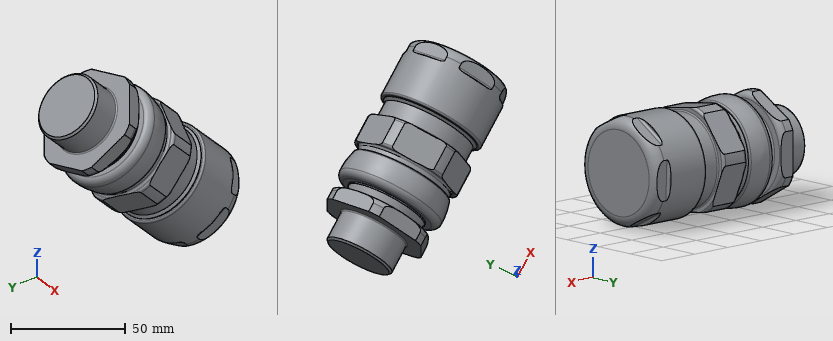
import cadquery as cq
import math

LENGTH = 98.0


THREAD_RADIUS = 32.0 / 2
THREAD_CHAMFER = 1.0
THREAD_ROOT_FILLET = 0.6
ENTRY_HEX_START = 14.8
ENTRY_HEX_END = 22.0
ENTRY_HEX_RADIUS = 50.45 / 2
ENTRY_HEX_ACROSS_FLATS = 46.0
ENTRY_HEX_FILLET = 2.9
ENTRY_HEX_TURN = 90.0
NECK_SMALL_RADIUS = 36.2 / 2
NECK_LARGE_RADIUS = 37.4 / 2
NECK_FILLET = 1.0

LIP_RADIUS = 38.0 / 2
LIP_START = 26.5
COLLAR_START = 27.2
COLLAR_END = 41.2
COLLAR_RADIUS = 50.3 / 2
COLLAR_FRONT_FILLET = 3.3
COLLAR_BULGE_END = 40.6
COLLAR_BULGE_END_RADIUS = 23.8
COLLAR_BULGE_MIDDLE = 35.6
COLLAR_BULGE_MIDDLE_RADIUS = 24.9
COLLAR_REAR_FILLET = COLLAR_END - COLLAR_BULGE_END

JOINT_X = 35.6
SPIGOT_RADIUS = 45.4 / 2
BODY_HEX_START = 44.6
BODY_HEX_END = 58.7
BODY_HEX_RADIUS = 50.7 / 2
BODY_HEX_ACROSS_FLATS = 46.3
BODY_HEX_TURN = 8.2
BODY_HEX_FILLET = 1.3
SPIGOT_FILLET = 1.1
BARREL_RADIUS = 43.5 / 2
BARREL_FILLET = 0.6
SHOULDER_START = 67.0
SHOULDER_END = 68.2
SHOULDER_RADIUS = 23.0

NUT_START = 68.5
NUT_RADIUS = 49.4 / 2
NUT_FRONT_FILLET = 0.9
NUT_END_FILLET = 5.3
SOCKET_DEPTH = 14.7
FLAT_COUNT = 6
FLAT_APOTHEM = 22.9
FLAT_START = 89.7
FLAT_FILLET = 1.2
FLAT_TURN = 28.0

HEX_SIDES = 6
SIN_45 = math.sqrt(0.5)


def revolved(outline):
    """Close an outline of radius against X and turn it around the X axis."""
    return outline.close().revolve(360, (0, 0, 0), (1, 0, 0))


def convex_corner(outline, x, radius, fillet):
    """Round from a rising face at x onto a cylinder of the given radius to its right."""
    middle = (x + fillet * (1 - SIN_45), radius - fillet * (1 - SIN_45))
    return outline.lineTo(x, radius - fillet).threePointArc(middle, (x + fillet, radius))


def convex_arc(outline, x, radius, fillet):
    """Arc from the end of a cylinder of the given radius onto a falling face at x."""
    middle = (x - fillet * (1 - SIN_45), radius - fillet * (1 - SIN_45))
    return outline.threePointArc(middle, (x, radius - fillet))


def convex_end(outline, x, radius, fillet):
    """Cylinder of the given radius that rounds onto a falling face at x."""
    return convex_arc(outline.lineTo(x - fillet, radius), x, radius, fillet)


def concave_arc(outline, x, radius, fillet):
    """Arc from the end of a cylinder of the given radius up into a rising face at x."""
    middle = (x - fillet * (1 - SIN_45), radius + fillet * (1 - SIN_45))
    return outline.threePointArc(middle, (x, radius + fillet))


def concave_rise(outline, x, radius, fillet):
    """Cylinder of the given radius that rounds up into a rising face at x."""
    return concave_arc(outline.lineTo(x - fillet, radius), x, radius, fillet)


def concave_fall(outline, x, radius, fillet):
    """Round from a falling face at x out onto a cylinder of the given radius."""
    middle = (x + fillet * (1 - SIN_45), radius + fillet * (1 - SIN_45))
    return outline.lineTo(x, radius + fillet).threePointArc(middle, (x + fillet, radius))


def cylinder(start, end, radius):
    """Round bar along X between two positions."""
    return cq.Workplane("YZ", origin=(start, 0, 0)).circle(radius).extrude(end - start)


def hex_prism(start, end, across_flats, turn):
    """Hexagonal bar along X with one flat normal turned from +Z towards -Y by the given degrees."""
    across_corners = across_flats / math.cos(math.pi / HEX_SIDES)
    bar = cq.Workplane("YZ", origin=(start, 0, 0)).polygon(HEX_SIDES, across_corners).extrude(end - start)
    return bar.rotate((0, 0, 0), (1, 0, 0), turn)


def make_entry():
    thread = cq.Workplane("XY").lineTo(0, THREAD_RADIUS - THREAD_CHAMFER)
    thread = thread.lineTo(THREAD_CHAMFER, THREAD_RADIUS)
    thread = concave_rise(thread, ENTRY_HEX_START, THREAD_RADIUS, THREAD_ROOT_FILLET)
    thread = revolved(thread.lineTo(ENTRY_HEX_START, 0))

    flange = cq.Workplane("XY").moveTo(ENTRY_HEX_START, 0).lineTo(ENTRY_HEX_START, ENTRY_HEX_RADIUS)
    flange = convex_end(flange, ENTRY_HEX_END, ENTRY_HEX_RADIUS, ENTRY_HEX_FILLET)
    flange = revolved(flange.lineTo(ENTRY_HEX_END, 0))
    flange = flange.intersect(
        hex_prism(ENTRY_HEX_START, ENTRY_HEX_END, ENTRY_HEX_ACROSS_FLATS, ENTRY_HEX_TURN)
    )

    neck = cq.Workplane("XY").moveTo(ENTRY_HEX_END, 0)
    neck = concave_fall(neck, ENTRY_HEX_END, NECK_SMALL_RADIUS, NECK_FILLET)
    neck = neck.lineTo(LIP_START, NECK_LARGE_RADIUS).lineTo(JOINT_X, NECK_LARGE_RADIUS)
    neck = revolved(neck.lineTo(JOINT_X, 0))
    return thread.union(flange).union(neck)


def make_collar():
    collar = cq.Workplane("XY").moveTo(LIP_START, NECK_LARGE_RADIUS).lineTo(LIP_START, LIP_RADIUS)
    collar = collar.lineTo(COLLAR_START, LIP_RADIUS)
    collar = convex_corner(collar, COLLAR_START, COLLAR_RADIUS, COLLAR_FRONT_FILLET)
    collar = collar.threePointArc(
        (COLLAR_BULGE_MIDDLE, COLLAR_BULGE_MIDDLE_RADIUS), (COLLAR_BULGE_END, COLLAR_BULGE_END_RADIUS)
    )
    collar = convex_arc(collar, COLLAR_END, COLLAR_BULGE_END_RADIUS, COLLAR_REAR_FILLET)
    collar = collar.lineTo(COLLAR_END, SPIGOT_RADIUS).lineTo(JOINT_X, SPIGOT_RADIUS)
    return revolved(collar.lineTo(JOINT_X, NECK_LARGE_RADIUS))


def make_middle_body():
    fillet_start = BODY_HEX_START - SPIGOT_FILLET
    spigot = cylinder(JOINT_X, fillet_start, SPIGOT_RADIUS)

    hexagon = cq.Workplane("XY").moveTo(fillet_start, 0).lineTo(fillet_start, SPIGOT_RADIUS)
    hexagon = concave_arc(hexagon, BODY_HEX_START, SPIGOT_RADIUS, SPIGOT_FILLET)
    hexagon = convex_corner(hexagon, BODY_HEX_START, BODY_HEX_RADIUS, BODY_HEX_FILLET)
    hexagon = convex_end(hexagon, BODY_HEX_END, BODY_HEX_RADIUS, BODY_HEX_FILLET)
    hexagon = revolved(hexagon.lineTo(BODY_HEX_END, 0))
    hexagon = hexagon.intersect(
        hex_prism(fillet_start, BODY_HEX_END, BODY_HEX_ACROSS_FLATS, BODY_HEX_TURN)
    )

    barrel = cq.Workplane("XY").moveTo(BODY_HEX_END, 0)
    barrel = concave_fall(barrel, BODY_HEX_END, BARREL_RADIUS, BARREL_FILLET)
    barrel = barrel.lineTo(SHOULDER_START, BARREL_RADIUS).lineTo(SHOULDER_END, SHOULDER_RADIUS)
    barrel = revolved(barrel.lineTo(NUT_START, SHOULDER_RADIUS).lineTo(NUT_START, 0))
    tail = cylinder(NUT_START, NUT_START + SOCKET_DEPTH, BARREL_RADIUS)
    return spigot.union(hexagon).union(barrel).union(tail)


def make_flat_cutter():
    """Block that leaves one wrench flat facing +Z, with a filleted inner end."""
    reach = 2 * NUT_RADIUS
    block = cq.Workplane("XY").box(reach, reach, reach, centered=(False, True, False))
    block = block.edges("<X and <Z").fillet(FLAT_FILLET)
    return block.translate((FLAT_START, 0, FLAT_APOTHEM))


def make_back_nut():
    nut = cq.Workplane("XY").moveTo(NUT_START, 0)
    nut = convex_corner(nut, NUT_START, NUT_RADIUS, NUT_FRONT_FILLET)
    nut = convex_end(nut, LENGTH, NUT_RADIUS, NUT_END_FILLET)
    nut = revolved(nut.lineTo(LENGTH, 0))
    cutter = make_flat_cutter()
    for index in range(FLAT_COUNT):
        angle = FLAT_TURN + index * 360 / FLAT_COUNT
        nut = nut.cut(cutter.rotate((0, 0, 0), (1, 0, 0), angle))
    return nut.cut(cylinder(NUT_START, NUT_START + SOCKET_DEPTH, BARREL_RADIUS))


entry = make_entry()
collar = make_collar()
middle_body = make_middle_body()
back_nut = make_back_nut()

result = cq.Compound.makeCompound([entry.val(), collar.val(), middle_body.val(), back_nut.val()])